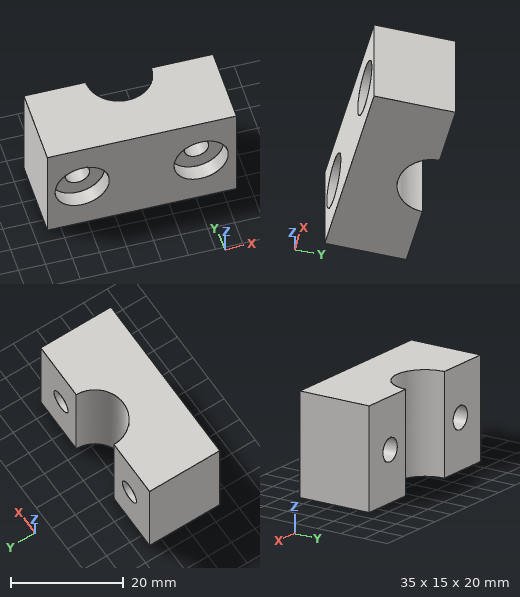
import cadquery as cq

length = 35.0
depth = 15.0
height = 20.0

saddle_diameter = 12.1

hole_spacing = 22.0
hole_diameter = 4.5
counterbore_diameter = 10.0
counterbore_depth = 3.0
left_hole_x = -(saddle_diameter + counterbore_diameter) / 2
right_hole_x = left_hole_x + hole_spacing


def make_block():
    return cq.Workplane("XY").box(length, depth, height)


def cut_saddle(body):
    saddle = (
        cq.Workplane("XY")
        .center(0, depth / 2)
        .circle(saddle_diameter / 2)
        .extrude(height / 2, both=True)
    )
    return body.cut(saddle)


def cut_screw_holes(body):
    return (
        body.faces("<Y")
        .workplane(centerOption="CenterOfBoundBox")
        .pushPoints([(left_hole_x, 0), (right_hole_x, 0)])
        .cboreHole(hole_diameter, counterbore_diameter, counterbore_depth)
    )


result = cut_screw_holes(cut_saddle(make_block()))